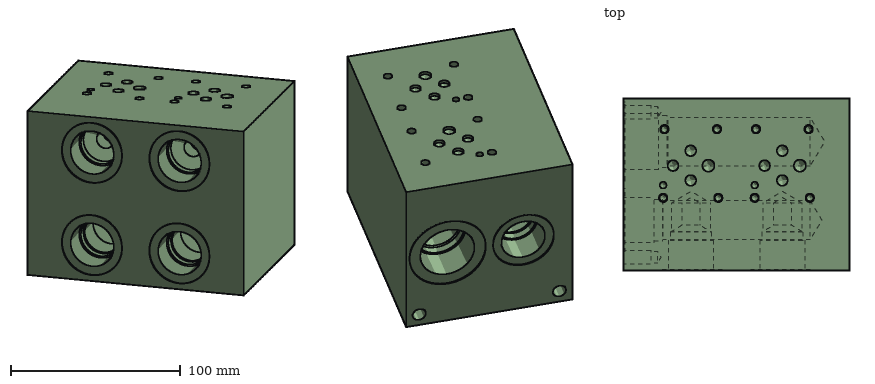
import cadquery as cq
import math

LENGTH = 133.35
WIDTH = 101.6
HEIGHT = 101.6
LEFT = -LENGTH / 2
FRONT = -WIDTH / 2

DRILL_POINT_ANGLE = 118.0

STATION_PITCH = 53.975
STATION_XS = (-STATION_PITCH / 2, STATION_PITCH / 2)

REAR_BOLT_INSET = 18.2
BOLT_SPAN_REAR = 31.0
BOLT_SPAN_FRONT = 32.5
BOLT_SPAN_Y = 40.5
PORT_A_OFFSET = 12.7
PORT_ROW_OFFSET = 21.5
PORT_B_OFFSET = 30.2
PIN_OFFSET = 33.0
SIDE_PORT_OFFSET = 10.4
REAR_BOLT_Y = WIDTH / 2 - REAR_BOLT_INSET
FRONT_BOLT_Y = REAR_BOLT_Y - BOLT_SPAN_Y
PORT_A_Y = REAR_BOLT_Y - PORT_A_OFFSET
PORT_ROW_Y = REAR_BOLT_Y - PORT_ROW_OFFSET
PORT_B_Y = REAR_BOLT_Y - PORT_B_OFFSET
PIN_Y = REAR_BOLT_Y - PIN_OFFSET

VALVE_PORT_DIAMETER = 6.35
PRESSURE_PORT_DIAMETER = 7.14
VALVE_PORT_DEPTH = 2.0
PIN_DIAMETER = 3.96
PIN_DEPTH = 6.0
BOLT_THREAD_DIAMETER = 5.0
BOLT_TAP_DIAMETER = 4.22
BOLT_THREAD_DEPTH = 12.0
BOLT_DEPTH = 15.0

SPOTFACE_DEPTH = 0.8
TAP_RUNOUT = 5.0
SMALL_SPOTFACE_DIAMETER = 37.11
SMALL_THREAD_DIAMETER = 26.54
SMALL_TAP_DIAMETER = 24.41
SMALL_DRILL_DIAMETER = 23.01
SMALL_THREAD_DEPTH = 17.8
LARGE_SPOTFACE_DIAMETER = 46.56
LARGE_THREAD_DIAMETER = 32.99
LARGE_TAP_DIAMETER = 30.63
LARGE_DRILL_DIAMETER = 28.57
LARGE_THREAD_DEPTH = 20.5
B_DRILL_DIAMETER = 10.72

A_PORT_Z = 22.225
B_PORT_Z = HEIGHT - A_PORT_Z
A_DRILL_DEPTH = 40.0
B_DRILL_DEPTH = 40.0
GALLERY_Z = HEIGHT / 2
T_GALLERY_INSET = 25.4
T_GALLERY_Y = WIDTH / 2 - T_GALLERY_INSET
P_GALLERY_INSET = 29.9
P_GALLERY_Y = FRONT + P_GALLERY_INSET
GALLERY_DEPTH = 110.0

FOOT_INSET = 8.0
FOOT_THREAD_DIAMETER = 8.0
FOOT_TAP_DIAMETER = 6.76
FOOT_THREAD_DEPTH = 16.0
FOOT_DEPTH = 20.0


def cone_length(large_diameter, small_diameter, included_angle):
    """Axial length of a cone between two diameters."""
    return (large_diameter - small_diameter) / 2 / math.tan(math.radians(included_angle / 2))


def drilled_hole(profile, tip_diameter):
    """Revolve (diameter, depth) steps about Z, from Z = 0 down, closed by a drill point."""
    last_depth = profile[-1][1]
    tip_depth = last_depth + cone_length(tip_diameter, 0, DRILL_POINT_ANGLE)
    outline = [(0, 0)]
    outline += [(diameter / 2, -depth) for diameter, depth in profile]
    outline.append((0, -tip_depth))
    return cq.Workplane("XZ").polyline(outline).close().revolve(360, (0, 0), (0, 1))


def plain_hole(diameter, depth):
    """Drilled hole with a pointed bottom."""
    return drilled_hole([(diameter, 0), (diameter, depth)], diameter)


def tapped_hole(thread_diameter, tap_diameter, thread_depth, depth):
    """Hole bored to the thread diameter, with the tap drill hole going on below."""
    profile = [
        (thread_diameter, 0),
        (thread_diameter, thread_depth),
        (tap_diameter, thread_depth),
        (tap_diameter, depth),
    ]
    return drilled_hole(profile, tap_diameter)


def tapped_port(spotface, thread, tap, drill, thread_depth, drill_depth):
    """Spotfaced port bored to the thread diameter, then the tap bore and a smaller drilled bore."""
    tap_end = thread_depth + TAP_RUNOUT
    drill_start = tap_end + cone_length(tap, drill, DRILL_POINT_ANGLE)
    profile = [
        (spotface, 0),
        (spotface, SPOTFACE_DEPTH),
        (thread, SPOTFACE_DEPTH),
        (thread, thread_depth),
        (tap, thread_depth),
        (tap, tap_end),
        (drill, drill_start),
        (drill, drill_depth),
    ]
    return drilled_hole(profile, drill)


def small_port(drill, drill_depth):
    """Port in the smaller thread size, with a chosen drilled bore."""
    return tapped_port(
        SMALL_SPOTFACE_DIAMETER,
        SMALL_THREAD_DIAMETER,
        SMALL_TAP_DIAMETER,
        drill,
        SMALL_THREAD_DEPTH,
        drill_depth,
    )


def large_port(drill_depth):
    """Port in the larger thread size."""
    return tapped_port(
        LARGE_SPOTFACE_DIAMETER,
        LARGE_THREAD_DIAMETER,
        LARGE_TAP_DIAMETER,
        LARGE_DRILL_DIAMETER,
        LARGE_THREAD_DEPTH,
        drill_depth,
    )


def into_top(hole, x, y):
    """Place a hole on the top face, running down."""
    return hole.translate((x, y, HEIGHT))


def into_front(hole, x, z):
    """Place a hole on the front face, running toward +Y."""
    return hole.rotate((0, 0, 0), (1, 0, 0), 90).translate((x, FRONT, z))


def into_left(hole, y, z):
    """Place a hole on the left face, running toward +X."""
    return hole.rotate((0, 0, 0), (0, 1, 0), -90).translate((LEFT, y, z))


def station_top_holes(x):
    """Valve ports, locating pin hole and bolt holes of one station."""
    port = plain_hole(VALVE_PORT_DIAMETER, VALVE_PORT_DEPTH)
    pressure_port = plain_hole(PRESSURE_PORT_DIAMETER, VALVE_PORT_DEPTH)
    pin = plain_hole(PIN_DIAMETER, PIN_DEPTH)
    bolt = tapped_hole(BOLT_THREAD_DIAMETER, BOLT_TAP_DIAMETER, BOLT_THREAD_DEPTH, BOLT_DEPTH)
    holes = [
        into_top(port, x, PORT_A_Y),
        into_top(port, x, PORT_B_Y),
        into_top(port, x - SIDE_PORT_OFFSET, PORT_ROW_Y),
        into_top(pressure_port, x + SIDE_PORT_OFFSET, PORT_ROW_Y),
        into_top(pin, x - BOLT_SPAN_FRONT / 2, PIN_Y),
    ]
    for side in (-1, 1):
        holes.append(into_top(bolt, x + side * BOLT_SPAN_REAR / 2, REAR_BOLT_Y))
        holes.append(into_top(bolt, x + side * BOLT_SPAN_FRONT / 2, FRONT_BOLT_Y))
    return holes


def station_front_ports(x):
    """Work ports A (lower) and B (upper) of one station."""
    return [
        into_front(small_port(SMALL_DRILL_DIAMETER, A_DRILL_DEPTH), x, A_PORT_Z),
        into_front(small_port(B_DRILL_DIAMETER, B_DRILL_DEPTH), x, B_PORT_Z),
    ]


def left_face_holes():
    """Tank and pressure galleries and the two tapped mounting holes."""
    foot = tapped_hole(FOOT_THREAD_DIAMETER, FOOT_TAP_DIAMETER, FOOT_THREAD_DEPTH, FOOT_DEPTH)
    foot_y = WIDTH / 2 - FOOT_INSET
    return [
        into_left(large_port(GALLERY_DEPTH), T_GALLERY_Y, GALLERY_Z),
        into_left(small_port(SMALL_DRILL_DIAMETER, GALLERY_DEPTH), P_GALLERY_Y, GALLERY_Z),
        into_left(foot, foot_y, FOOT_INSET),
        into_left(foot, -foot_y, FOOT_INSET),
    ]


block = cq.Workplane("XY").box(LENGTH, WIDTH, HEIGHT, centered=(True, True, False))

all_holes = left_face_holes()
for station_x in STATION_XS:
    all_holes += station_top_holes(station_x)
    all_holes += station_front_ports(station_x)

result = block
for one_hole in all_holes:
    result = result.cut(one_hole)